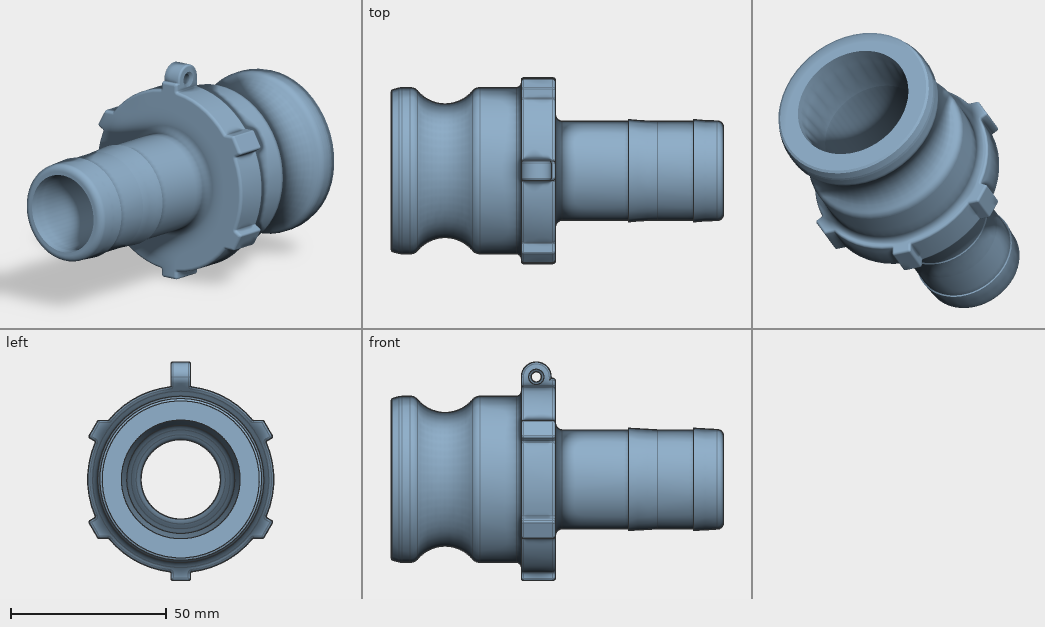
import cadquery as cq
import math

length = 106.9

plug_radius = 26.7
face_radius = 25.2
rim_radius = 26.0
rim_edge_length = 0.4
rim_taper_end = 2.7
rim_taper_radius = 26.6
rim_land_start = 3.6
rim_land_end = 6.2
groove_centre_x = 17.4
groove_floor_radius = 21.5
groove_arc_radius = 11.5

flange_start = 41.9
flange_length = 11.0
flange_end = flange_start + flange_length
flange_radius = 29.9
front_rounding = 0.7
back_rounding = 1.0
plug_fillet = 1.6
shank_fillet = 2.1

side_lug_angle = 60.0
lug_width = 6.3
lug_tip_radius = 32.5
lug_root_radius = 23.5
lug_rounding = 0.6
lug_root_fillet = 0.4

eye_radius = 4.8
eye_x = flange_start + eye_radius
eye_z = 32.9
eye_rounding = 0.6
eye_hole_diameter = 3.2
eye_hole_chamfer = 0.9

shank_radius = 15.9
barb_radius = 16.5
barb_starts = (76.3, 97.3)
barb_length = 9.3
shank_end_rounding = 2.1

mouth_radius = 38.2 / 2
socket_radius = 34.8 / 2
mouth_taper_length = 19.6
shoulder_wall = 3.2
shoulder_x = flange_end - shoulder_wall
socket_fillet = 1.5
bore_radius = 12.7
bore_rounding = 1.6


def arc_point(centre, radius, degrees):
    """Point on a circle at an angle measured from +X in the profile plane."""
    angle = math.radians(degrees)
    return (centre[0] + radius * math.cos(angle), centre[1] + radius * math.sin(angle))


def groove_geometry():
    """Half span, summed arc radii and shoulder radius for shoulders tangent to the groove arc."""
    half_span = groove_centre_x - rim_land_end
    drop = plug_radius - groove_floor_radius
    radius_sum = (half_span**2 + drop**2) / (2 * drop)
    shoulder_radius = radius_sum - groove_arc_radius
    return half_span, radius_sum, shoulder_radius


def make_body():
    """Revolve the outer profile: plug, groove, hub under the flange and barbed shank."""
    half_span, radius_sum, shoulder_radius = groove_geometry()
    lean = math.degrees(math.asin(half_span / radius_sum))
    shoulder_z = plug_radius - shoulder_radius
    left_shoulder = (rim_land_end, shoulder_z)
    right_shoulder = (groove_centre_x + half_span, shoulder_z)

    barb_slope = (barb_radius - shank_radius) / barb_length
    tip_start = length - shank_end_rounding
    tip_radius = barb_radius - barb_slope * (tip_start - barb_starts[1])
    tip_centre = (tip_start, tip_radius - shank_end_rounding)

    profile = (
        cq.Workplane("XZ")
        .moveTo(0, 0)
        .lineTo(0, face_radius)
        .lineTo(rim_edge_length, rim_radius)
        .lineTo(rim_taper_end, rim_taper_radius)
        .lineTo(rim_land_start, plug_radius)
        .lineTo(rim_land_end, plug_radius)
        .threePointArc(
            arc_point(left_shoulder, shoulder_radius, 90 - lean / 2),
            arc_point(left_shoulder, shoulder_radius, 90 - lean),
        )
        .threePointArc(
            (groove_centre_x, groove_floor_radius),
            arc_point(right_shoulder, shoulder_radius, 90 + lean),
        )
        .threePointArc(
            arc_point(right_shoulder, shoulder_radius, 90 + lean / 2),
            (right_shoulder[0], plug_radius),
        )
        .lineTo(flange_start - plug_fillet, plug_radius)
        .threePointArc(
            arc_point((flange_start - plug_fillet, plug_radius + plug_fillet), plug_fillet, -45),
            (flange_start, plug_radius + plug_fillet),
        )
        .lineTo(flange_end, plug_radius + plug_fillet)
        .lineTo(flange_end, shank_radius + shank_fillet)
        .threePointArc(
            arc_point((flange_end + shank_fillet, shank_radius + shank_fillet), shank_fillet, -135),
            (flange_end + shank_fillet, shank_radius),
        )
        .lineTo(barb_starts[0], shank_radius)
        .lineTo(barb_starts[0], barb_radius)
        .lineTo(barb_starts[0] + barb_length, shank_radius)
        .lineTo(barb_starts[1], shank_radius)
        .lineTo(barb_starts[1], barb_radius)
        .lineTo(tip_start, tip_radius)
        .threePointArc(
            arc_point(tip_centre, shank_end_rounding, 45),
            (length, tip_radius - shank_end_rounding),
        )
        .lineTo(length, 0)
        .close()
    )
    return profile.revolve(360, (0, 0, 0), (1, 0, 0))


def make_bore():
    """Revolve the passage: tapered mouth, straight socket, filleted shoulder and straight bore."""
    fillet_centre = (shoulder_x - socket_fillet, socket_radius - socket_fillet)
    rounding_centre = (shoulder_x + bore_rounding, bore_radius + bore_rounding)
    profile = (
        cq.Workplane("XZ")
        .moveTo(0, 0)
        .lineTo(0, mouth_radius)
        .lineTo(mouth_taper_length, socket_radius)
        .lineTo(shoulder_x - socket_fillet, socket_radius)
        .threePointArc(
            arc_point(fillet_centre, socket_fillet, 45),
            (shoulder_x, socket_radius - socket_fillet),
        )
        .lineTo(shoulder_x, bore_radius + bore_rounding)
        .threePointArc(
            arc_point(rounding_centre, bore_rounding, -135),
            (shoulder_x + bore_rounding, bore_radius),
        )
        .lineTo(length, bore_radius)
        .lineTo(length, 0)
        .close()
    )
    return profile.revolve(360, (0, 0, 0), (1, 0, 0))


def make_lug(flare_degrees=0):
    """Block across the flange, pointing up; its +Y side may flare out towards the root."""
    half_width = lug_width / 2
    flare = (lug_tip_radius - lug_root_radius) * math.tan(math.radians(flare_degrees))
    return (
        cq.Workplane("YZ", origin=(flange_start, 0, 0))
        .polyline(
            [
                (-half_width, lug_root_radius),
                (-half_width, lug_tip_radius),
                (half_width, lug_tip_radius),
                (half_width + flare, lug_root_radius),
            ]
        )
        .close()
        .extrude(flange_length)
        .edges("|X and >Z")
        .fillet(lug_rounding)
    )


def make_side_lugs():
    """Four lugs, each with its side away from the horizontal midplane level."""
    upper = make_lug(90 - side_lug_angle).rotate((0, 0, 0), (1, 0, 0), side_lug_angle)
    upper = upper.union(upper.mirror("XZ"))
    return upper.union(upper.mirror("XY"))


def is_lug_root(edge):
    """True for an edge along X that lies on the flange rim."""
    middle = edge.Center()
    return math.isclose(math.hypot(middle.y, middle.z), flange_radius, abs_tol=0.001)


def make_flange():
    """Disc with six lugs, filleted at the lug roots and rounded along both face outlines."""
    flange = (
        cq.Workplane("YZ", origin=(flange_start, 0, 0))
        .circle(flange_radius)
        .extrude(flange_length)
        .union(make_lug())
        .union(make_lug().mirror("XY"))
        .union(make_side_lugs())
    )
    root_edges = flange.edges("|X").filter(is_lug_root)
    flange = root_edges.fillet(lug_root_fillet)
    flange = flange.faces(">X").edges().fillet(back_rounding)
    return flange.faces("<X").edges().fillet(front_rounding)


def make_eye():
    """Round-topped tab above the top lug, with rounded edges."""
    tab = (
        cq.Workplane("XZ", origin=(0, lug_width / 2, 0))
        .moveTo(eye_x - eye_radius, lug_root_radius)
        .lineTo(eye_x - eye_radius, eye_z)
        .threePointArc((eye_x, eye_z + eye_radius), (eye_x + eye_radius, eye_z))
        .lineTo(eye_x + eye_radius, lug_root_radius)
        .close()
        .extrude(lug_width)
    )
    return tab.faces("<Y or >Y").edges("not <Z").fillet(eye_rounding)


def make_eye_hole():
    """Cross hole through the eye, countersunk at both sides."""
    hole_radius = eye_hole_diameter / 2
    half_width = lug_width / 2
    profile = (
        cq.Workplane("XY")
        .moveTo(0, -half_width)
        .lineTo(hole_radius + eye_hole_chamfer, -half_width)
        .lineTo(hole_radius, -half_width + eye_hole_chamfer)
        .lineTo(hole_radius, half_width - eye_hole_chamfer)
        .lineTo(hole_radius + eye_hole_chamfer, half_width)
        .lineTo(0, half_width)
        .close()
    )
    return profile.revolve(360, (0, 0, 0), (0, 1, 0)).translate((eye_x, 0, eye_z))


result = (
    make_body()
    .union(make_flange())
    .union(make_eye())
    .cut(make_eye_hole())
    .cut(make_bore())
)